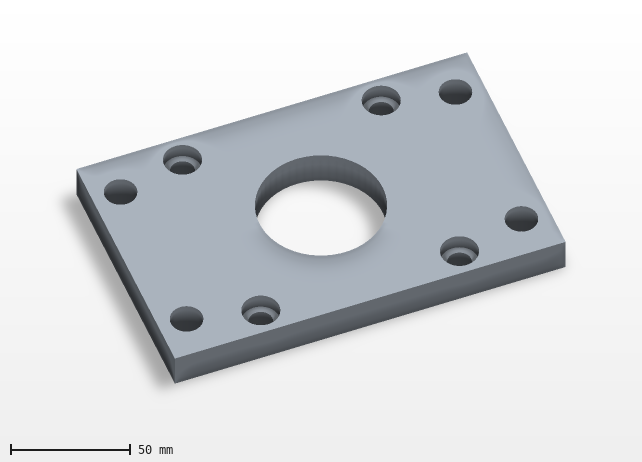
import cadquery as cq

width = 112.0
length = 175.0
thickness = 16.0

bore_diameter = 55.1

mount_spacing_x = 75.0
mount_spacing_y = 150.0
mount_diameter = 14.0

screw_spacing = 89.0
screw_diameter = 10.4
head_diameter = 16.3
head_depth = 7.0


def make_plate():
    """Rectangular plate centred on the origin."""
    return cq.Workplane("XY").box(width, length, thickness)


def cut_bore(body):
    return body.faces(">Z").workplane().hole(bore_diameter)


def cut_mounting_holes(body):
    top = body.faces(">Z").workplane()
    return top.rect(mount_spacing_x, mount_spacing_y, forConstruction=True).vertices().hole(mount_diameter)


def cut_screw_holes(body):
    top = body.faces(">Z").workplane()
    corners = top.rect(screw_spacing, screw_spacing, forConstruction=True).vertices()
    return corners.cboreHole(screw_diameter, head_diameter, head_depth)


plate = make_plate()
plate = cut_bore(plate)
plate = cut_mounting_holes(plate)
result = cut_screw_holes(plate)